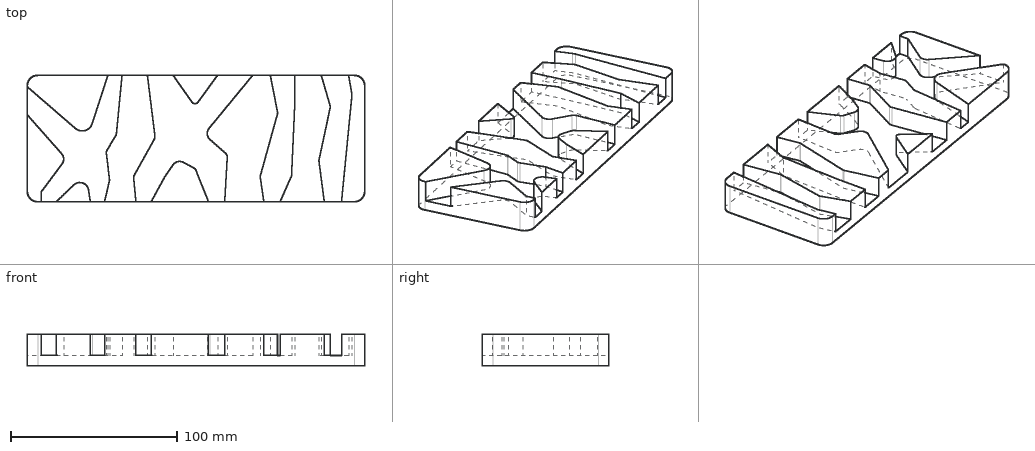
import cadquery as cq
import math

length = 203.2
width = 76.2
height = 19.0
corner_radius = 6.3

channel_depth = 12.8
floor_height = height - channel_depth

large_round = 6.3
front_left_round = 5.3
medium_round = 4.9
small_round = 3.0
tip_round = 2.2
bend_round = 1.2

back_left_island = [
    (0, width),
    (0, 69.3),
    (36.2, 38.0, large_round),
    (48.5, width),
]
left_island = [
    (0, 0),
    (0, 52.5),
    (23.4, 26.0, medium_round),
    (8.5, 6.0),
    (8.5, 0),
]
front_left_island = [
    (17.5, 0),
    (35.4, 17.3, front_left_round),
    (38.0, 0),
]
left_winding_island = [
    (57.0, width),
    (53.6, 40.5, bend_round),
    (47.5, 30.3, small_round),
    (49.5, 13.0),
    (46.5, 0),
    (65.5, 0),
    (64.0, 15.2, bend_round),
    (77.0, 38.6, small_round),
    (72.3, width),
]
back_middle_island = [
    (87.8, width),
    (101.0, 57.5, tip_round),
    (114.6, width),
]
front_middle_island = [
    (74.5, 0),
    (83.0, 15.2),
    (90.2, 25.8, medium_round),
    (101.2, 20.0, small_round),
    (109.1, 0),
]
right_middle_island = [
    (135.7, width),
    (106.5, 40.6, medium_round),
    (120.5, 28.2, small_round),
    (118.9, 0),
    (142.5, 0),
    (140.2, 15.2, bend_round),
    (150.8, 53.5, bend_round),
    (146.3, width),
]
right_winding_island = [
    (161.1, width),
    (161.0, 56.3),
    (159.1, 15.6),
    (152.2, 0),
    (178.8, 0),
    (175.5, 24.8, bend_round),
    (182.5, 57.3, bend_round),
    (177.0, width),
]
right_island = [
    (length, width),
    (193.5, width),
    (195.5, 64.5, large_round),
    (189.2, 0),
    (length, 0),
]
islands = [
    back_left_island,
    left_island,
    front_left_island,
    left_winding_island,
    back_middle_island,
    front_middle_island,
    right_middle_island,
    right_winding_island,
    right_island,
]


def rounded_corner(before, corner, after, radius):
    """Start, middle and end of the arc tangent to both sides of a corner."""
    point = cq.Vector(*corner)
    to_before = (cq.Vector(*before) - point).normalized()
    to_after = (cq.Vector(*after) - point).normalized()
    half_angle = to_before.getAngle(to_after) / 2
    tangent_length = radius / math.tan(half_angle)
    tip_gap = radius / math.sin(half_angle) - radius
    bisector = (to_before + to_after).normalized()
    return (
        point + to_before * tangent_length,
        point + bisector * tip_gap,
        point + to_after * tangent_length,
    )


def raised_island(outline):
    """Extrude an outline, starting at a sharp corner, from floor to top."""
    sketch = cq.Workplane("XY").workplane(offset=floor_height).moveTo(*outline[0])
    for index, (x, y, *radius) in enumerate(outline[1:], start=1):
        if radius:
            before = outline[index - 1][:2]
            after = outline[(index + 1) % len(outline)][:2]
            start, middle, end = rounded_corner(before, (x, y), after, radius[0])
            sketch = sketch.lineTo(start.x, start.y)
            sketch = sketch.threePointArc((middle.x, middle.y), (end.x, end.y))
        else:
            sketch = sketch.lineTo(x, y)
    return sketch.close().extrude(channel_depth)


envelope = cq.Workplane("XY").box(length, width, height, centered=False)
envelope = envelope.edges("|Z").fillet(corner_radius)

part = cq.Workplane("XY").box(length, width, floor_height, centered=False)
for island_outline in islands:
    part = part.union(raised_island(island_outline))

result = part.intersect(envelope)